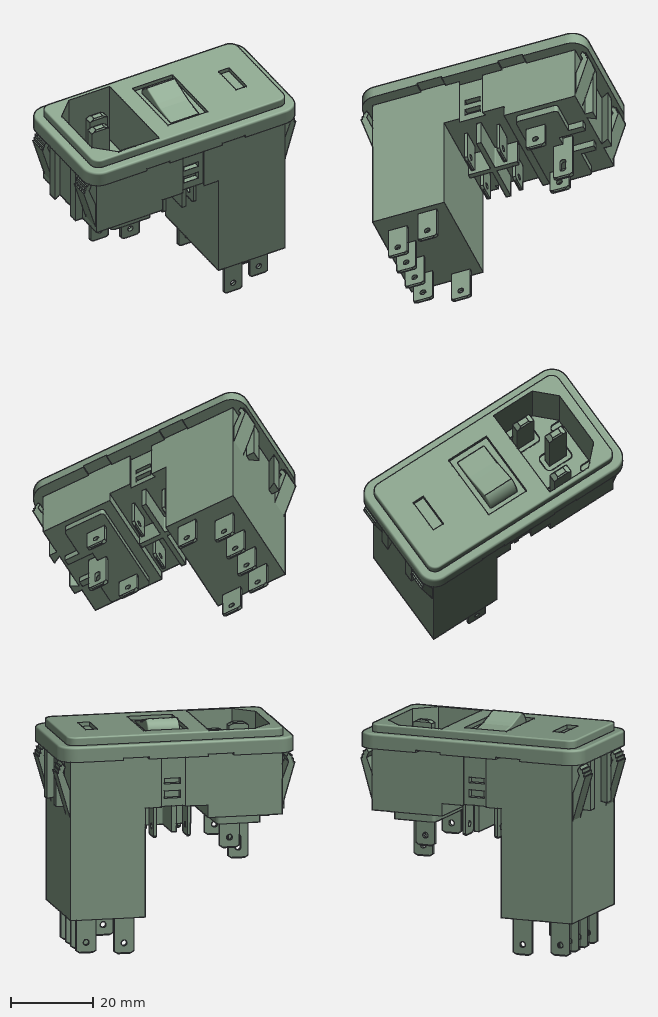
import cadquery as cq


FLANGE_X, FLANGE_Y, FLANGE_TOP = 31.5, 58.9, 3.7
FLANGE_CORNER, FLANGE_EDGE = 4.3, 0.6
BEZEL_X, BEZEL_Y, BEZEL_TOP = 26.8, 54.15, 5.65
BEZEL_CORNER, BEZEL_EDGE = 2.25, 0.4
NOTCH_LENGTH, NOTCH_HEIGHT, NOTCH_Y = 6.4, 0.55, 10.6

BODY_X, BODY_HALF_Y = 26.05, 26.5
BODY_BOTTOM = -12.75
INLET_BOTTOM, INLET_BACK = -15.85, -7.9
DEEP_BOTTOM, DEEP_FRONT = -39.9, 7.75

RIB_Y, RIB_OUTER_X, RIB_INNER_X, RIB_ROOT_X = 28.5, 6.3, 3.75, 4.9

RECESS_Y = (-2.25, 3.75)
RECESS_DEPTH, RECESS_UNDERCUT, WINDOW_DEPTH = 1.15, 0.35, 1.4
WINDOW_Y = (-1.25, 2.75)
WINDOW_Z = [(-7.2, -5.85), (-10.8, -8.9)]

LATCH_X, LATCH_WIDTH = 10.2, 4.65
LATCH_HEAD = (28.3, -0.7)
LATCH_RIDGES = [(29.75, -3.15), (29.45, -2.3), (29.1, -1.4)]
LATCH_STEP = 0.4
LATCH_BACK = [(27.7, -1.65), (28.2, -3.0)]
LATCH_FOOT_Z, LATCH_ARMPIT_Z = -14.35, -7.55

LABEL_X, LABEL_Y, LABEL_CENTRE_Y = 8.7, 3.0, 19.15
POCKET_DEPTH = 1.0
SWITCH_X, SWITCH_Y, SWITCH_CENTRE_Y = 17.4, 11.2, 1.65

ROCKER_HALF_X, ROCKER_WIDTH, ROCKER_CENTRE_Y = 7.25, 8.0, 1.7
ROCKER_PEAK = (-4.65, 7.7)
ROCKER_NOSE = (-6.25, 6.7)
ROCKER_BEND_START = (0.3, 6.0)
ROCKER_BEND_END = (1.95, 5.55)
ROCKER_TAIL_Z = 4.75
ROCKER_EDGE = 0.3

SOCKET_HALF_X, SOCKET_BACK, SOCKET_FRONT = 12.15, -8.4, -24.6
SOCKET_CHAMFER = 4.75
SOCKET_FLOOR = -10.4
KEY_WIDTH, KEY_LENGTH, KEY_X = 2.0, 3.0, 6.35
SEAT_X, SEAT_Y, SEAT_CORNER, SEAT_DEPTH = 4.65, 7.45, 1.1, 0.6
LINE_X, LINE_Y, LINE_TOP = 8.05, -14.35, 1.65
EARTH_Y, EARTH_TOP = -18.4, 4.9
PIN_X = 2.0
PIN_END_SLOPE = (0.7, 1.25)
PIN_SIDE_SLOPE = (0.25, 0.4)

BLOCK_BOTTOM = -17.85
BLOCK_HALF_X, BLOCK_BACK, BLOCK_FRONT, BLOCK_CORNER = 11.8, -10.4, -21.35, 0.85
PRONG_X = (2.85, 4.35)
PRONG_FRONT = -25.25

DIVIDER_X, DIVIDER_Y, DIVIDER_WALL, DIVIDER_BOTTOM = 19.9, 12.8, 1.2, -19.65
DIVIDER_CENTRE_Y, DIVIDER_FILLET = -0.1, 0.25

TAB_WIDTH, TAB_THICKNESS, INLET_TAB_THICKNESS = 4.95, 0.8, 0.95
TAB_HOLE, TAB_CORNER_WIDTH, TAB_CORNER_HEIGHT, TAB_BEVEL = 1.4, 1.0, 0.65, 0.3
LINE_TAB_BOTTOM, LINE_HOLE_Z = -24.6, -21.95
EARTH_TAB_BOTTOM, EARTH_SLOT_Z, EARTH_SLOT_LENGTH = -29.0, -25.05, 3.85
SWITCH_TAB_BOTTOM, SWITCH_HOLE_Z = -21.55, -18.85
SWITCH_TAB_X, SWITCH_TAB_Y = 5.3, 4.2
DEEP_TAB_BOTTOM, DEEP_HOLE_Z = -49.05, -46.35
FRONT_ROW_X, FRONT_ROW_Y = (-11.2, 11.2), 12.75
BACK_ROW_X, BACK_ROW_Y = (-8.4, -2.8, 2.8, 8.4), 21.55

EMBED = 0.6


def box(x_range, y_range, z_range):
    """Block spanning the given ranges."""
    sizes = [high - low for low, high in (x_range, y_range, z_range)]
    corner = (x_range[0], y_range[0], z_range[0])
    return cq.Workplane("XY").box(*sizes, centered=False).translate(corner)


def rounded_slab(size_x, size_y, bottom, top, corner, edge):
    """Slab with rounded corners and a rounded top rim."""
    slab = cq.Workplane("XY").workplane(offset=bottom).rect(size_x, size_y).extrude(top - bottom)
    return slab.edges("|Z").fillet(corner).faces(">Z").edges().fillet(edge)


def make_flange():
    """Mounting flange with notched underside edges, topped by the bezel."""
    flange = rounded_slab(FLANGE_X, FLANGE_Y, 0, FLANGE_TOP, FLANGE_CORNER, FLANGE_EDGE)
    bezel = rounded_slab(BEZEL_X, BEZEL_Y, FLANGE_TOP - FLANGE_EDGE, BEZEL_TOP, BEZEL_CORNER, BEZEL_EDGE)
    for notch_y in (-NOTCH_Y, NOTCH_Y):
        notch = cq.Workplane("XY").box(FLANGE_X, NOTCH_LENGTH, NOTCH_HEIGHT, centered=(True, True, False))
        flange = flange.cut(notch.translate((0, notch_y, 0)))
    return flange.union(bezel)


def make_rib(side, end, bottom, top):
    """Upright rib on an end face; side and end are the signs of its X and Y position."""
    root_y = BODY_HALF_Y - EMBED
    outline = [
        (RIB_OUTER_X, root_y),
        (RIB_OUTER_X, RIB_Y),
        (RIB_INNER_X, RIB_Y),
        (RIB_ROOT_X, BODY_HALF_Y),
        (RIB_ROOT_X, root_y),
    ]
    points = [(side * x, end * y) for x, y in outline]
    return cq.Workplane("XY").workplane(offset=bottom).polyline(points).close().extrude(top - bottom)


def make_housing():
    """Main box, the deeper inlet end, the deep box at the back and the end ribs."""
    half_x = BODY_X / 2
    sides = (-half_x, half_x)
    top = EMBED
    housing = box(sides, (-BODY_HALF_Y, BODY_HALF_Y), (BODY_BOTTOM, top))
    housing = housing.union(box(sides, (-BODY_HALF_Y, INLET_BACK), (INLET_BOTTOM, top)))
    housing = housing.union(box(sides, (DEEP_FRONT, BODY_HALF_Y), (DEEP_BOTTOM, top)))
    for end, bottom in ((-1, INLET_BOTTOM), (1, BODY_BOTTOM)):
        for side in (-1, 1):
            housing = housing.union(make_rib(side, end, bottom, top))
    return housing


def side_recesses():
    """Shallow bay with undercut ends and two windows in its floor, on both long sides."""
    half_x = BODY_X / 2
    floor_x = half_x - RECESS_DEPTH
    front_y, back_y = RECESS_Y
    outline = [
        (half_x, front_y),
        (floor_x, front_y - RECESS_UNDERCUT),
        (floor_x, back_y + RECESS_UNDERCUT),
        (half_x, back_y),
    ]
    bay = cq.Workplane("XY").polyline(outline).close().extrude(BODY_BOTTOM)
    for z_range in WINDOW_Z:
        bay = bay.union(box((floor_x - WINDOW_DEPTH, half_x), WINDOW_Y, z_range))
    return bay.union(bay.mirror("YZ"))


def make_latches():
    """Four snap arms, each with a stepped grip above its tip."""
    root_y = BODY_HALF_Y - EMBED
    outline = [(root_y, LATCH_FOOT_Z), (BODY_HALF_Y, LATCH_FOOT_Z)]
    for ridge_y, ridge_z in LATCH_RIDGES:
        outline += [(ridge_y, ridge_z), (ridge_y - LATCH_STEP, ridge_z)]
    outline += [LATCH_HEAD, *LATCH_BACK, (BODY_HALF_Y, LATCH_ARMPIT_Z), (root_y, LATCH_ARMPIT_Z)]
    latch = cq.Workplane("YZ").polyline(outline).close().extrude(LATCH_WIDTH / 2, both=True)
    pair = latch.translate((LATCH_X, 0, 0)).union(latch.translate((-LATCH_X, 0, 0)))
    return pair.union(pair.mirror("XZ"))


def face_pocket(size_x, size_y, centre_y):
    """Shallow rectangular recess in the bezel face."""
    pocket = cq.Workplane("XY").box(size_x, size_y, POCKET_DEPTH, centered=(True, True, False))
    return pocket.translate((0, centre_y, BEZEL_TOP - POCKET_DEPTH))


def make_rocker():
    """Switch rocker with a rounded raised end, tilted toward +X."""
    base_z = BEZEL_TOP - POCKET_DEPTH - EMBED
    profile = (
        cq.Workplane("XZ")
        .moveTo(-ROCKER_HALF_X, base_z)
        .lineTo(-ROCKER_HALF_X, ROCKER_TAIL_Z)
        .threePointArc(ROCKER_NOSE, ROCKER_PEAK)
        .lineTo(*ROCKER_BEND_START)
        .lineTo(*ROCKER_BEND_END)
        .lineTo(ROCKER_HALF_X, ROCKER_TAIL_Z)
        .lineTo(ROCKER_HALF_X, base_z)
        .close()
    )
    rocker = profile.extrude(ROCKER_WIDTH / 2, both=True)
    rocker = rocker.faces("<Y or >Y").edges("not <Z").fillet(ROCKER_EDGE)
    return rocker.translate((0, ROCKER_CENTRE_Y, 0))


def socket_cavity():
    """Inlet opening with two cut corners, key slots and pin seats sunk in its floor."""
    cavity = box((-SOCKET_HALF_X, SOCKET_HALF_X), (SOCKET_FRONT, SOCKET_BACK), (SOCKET_FLOOR, BEZEL_TOP))
    cavity = cavity.edges("|Z and <Y").chamfer(SOCKET_CHAMFER)
    seats = [(-LINE_X, LINE_Y), (LINE_X, LINE_Y), (0, EARTH_Y)]
    seat_floor = cq.Workplane("XY").workplane(offset=SOCKET_FLOOR - SEAT_DEPTH)
    seat = seat_floor.pushPoints(seats).rect(SEAT_X, SEAT_Y).extrude(2 * SEAT_DEPTH)
    cavity = cavity.union(seat.edges("|Z").fillet(SEAT_CORNER))
    half_width = KEY_WIDTH / 2
    keys = [(0, SOCKET_BACK, -1), (KEY_X, SOCKET_FRONT, 1), (-KEY_X, SOCKET_FRONT, 1)]
    for key_x, wall_y, inward in keys:
        end_y = wall_y + inward * (KEY_LENGTH - half_width)
        key = (
            seat_floor.moveTo(key_x - half_width, wall_y)
            .lineTo(key_x - half_width, end_y)
            .threePointArc((key_x, end_y + inward * half_width), (key_x + half_width, end_y))
            .lineTo(key_x + half_width, wall_y)
            .close()
            .extrude(2 * SEAT_DEPTH)
        )
        cavity = cavity.union(key)
    return cavity


def make_pin(x, y, top):
    """Contact blade standing in the inlet, with a tapered tip."""
    base_z = SOCKET_FLOOR - SEAT_DEPTH - EMBED
    half_x, half_y = PIN_X / 2, TAB_WIDTH / 2
    blade = box((-half_x, half_x), (-half_y, half_y), (base_z, top))
    blade = blade.edges("|X and >Z").chamfer(*PIN_END_SLOPE)
    blade = blade.faces(">Z").edges("|Y").chamfer(*PIN_SIDE_SLOPE)
    return blade.translate((x, y, 0))


def make_tab(thickness, top, bottom, hole_z, slot_length=TAB_HOLE):
    """Flat terminal facing X, centred on the Z axis, with a bevelled lower end and a hole or slot."""
    half_width = TAB_WIDTH / 2
    tab = box((-thickness / 2, thickness / 2), (-half_width, half_width), (bottom, top))
    tab = tab.edges("|X and <Z").chamfer(TAB_CORNER_HEIGHT, TAB_CORNER_WIDTH)
    tab = tab.faces("<Z").edges("|Y").chamfer(TAB_BEVEL)
    opening = cq.Workplane("YZ").center(0, hole_z)
    if slot_length > TAB_HOLE:
        opening = opening.slot2D(slot_length, TAB_HOLE, 90)
    else:
        opening = opening.circle(TAB_HOLE / 2)
    return tab.cut(opening.extrude(thickness, both=True))


def make_terminal_block():
    """Block under the inlet with two prongs and an open channel around the earth tab."""
    height = (BLOCK_BOTTOM, INLET_BOTTOM + EMBED)
    block = box((-BLOCK_HALF_X, BLOCK_HALF_X), (BLOCK_FRONT, BLOCK_BACK), height)
    block = block.edges("|Z").fillet(BLOCK_CORNER)
    prong = box(PRONG_X, (PRONG_FRONT, BLOCK_FRONT + EMBED), height)
    channel = box((-PRONG_X[0], PRONG_X[0]), (BLOCK_FRONT, EARTH_Y), (BLOCK_BOTTOM, INLET_BOTTOM))
    return block.union(prong).union(prong.mirror("YZ")).cut(channel)


def make_divider():
    """Cross-shaped wall that separates the four switch tabs."""
    height = BODY_BOTTOM + EMBED - DIVIDER_BOTTOM
    start = cq.Workplane("XY").workplane(offset=DIVIDER_BOTTOM)
    across = start.rect(DIVIDER_X, DIVIDER_WALL).extrude(height)
    along = start.rect(DIVIDER_WALL, DIVIDER_Y).extrude(height)
    reach = DIVIDER_WALL / 2 + DIVIDER_FILLET
    inner = cq.selectors.BoxSelector((-reach, -reach, DIVIDER_BOTTOM), (reach, reach, 0))
    cross = across.union(along).edges("|Z").edges(inner).fillet(DIVIDER_FILLET)
    return cross.translate((0, DIVIDER_CENTRE_Y, 0))


def make_terminals():
    """All tabs: three under the inlet, four under the switch, six under the deep housing."""
    line_tab = make_tab(INLET_TAB_THICKNESS, INLET_BOTTOM, LINE_TAB_BOTTOM, LINE_HOLE_Z)
    earth_tab = make_tab(
        INLET_TAB_THICKNESS, INLET_BOTTOM, EARTH_TAB_BOTTOM, EARTH_SLOT_Z, EARTH_SLOT_LENGTH
    )
    switch_tab = make_tab(TAB_THICKNESS, BODY_BOTTOM + EMBED, SWITCH_TAB_BOTTOM, SWITCH_HOLE_Z)
    switch_tab = switch_tab.rotate((0, 0, 0), (0, 0, 1), 90)
    deep_tab = make_tab(TAB_THICKNESS, DEEP_BOTTOM + EMBED, DEEP_TAB_BOTTOM, DEEP_HOLE_Z)

    places = [(earth_tab, 0, EARTH_Y)]
    for side in (-1, 1):
        places.append((line_tab, side * LINE_X, LINE_Y))
        for end in (-1, 1):
            places.append((switch_tab, side * SWITCH_TAB_X, DIVIDER_CENTRE_Y + end * SWITCH_TAB_Y))
    places += [(deep_tab, x, FRONT_ROW_Y) for x in FRONT_ROW_X]
    places += [(deep_tab, x, BACK_ROW_Y) for x in BACK_ROW_X]

    terminals = cq.Workplane("XY")
    for tab, x, y in places:
        terminals = terminals.add(tab.translate((x, y, 0)))
    return terminals.combine()


body = make_flange().union(make_housing())
body = body.cut(side_recesses())
body = body.cut(face_pocket(LABEL_X, LABEL_Y, LABEL_CENTRE_Y))
body = body.cut(face_pocket(SWITCH_X, SWITCH_Y, SWITCH_CENTRE_Y))
body = body.union(make_rocker())
body = body.cut(socket_cavity())
for pin_x in (-LINE_X, LINE_X):
    body = body.union(make_pin(pin_x, LINE_Y, LINE_TOP))
body = body.union(make_pin(0, EARTH_Y, EARTH_TOP))
body = body.union(make_latches())
body = body.union(make_terminal_block())
body = body.union(make_divider())
result = body.union(make_terminals()).solids()